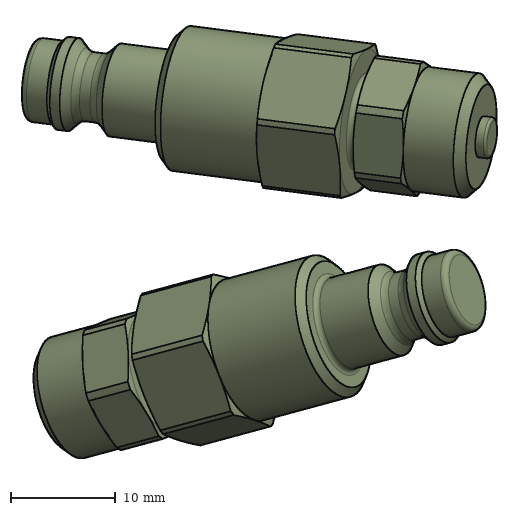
import cadquery as cq
import math

RIB_START = 2.65
RIB_END = 4.1
SHANK_START = 8.3
BODY_START = 14.1
NUT_START = 24.5
NECK_START = 32.75
COLLAR_START = 33.85
SLEEVE_START = 38.85
PIN_START = 44.8
LENGTH = 45.85

TIP_RADIUS = 8.1 / 2
SHANK_RADIUS = 9.0 / 2
GROOVE_RADIUS = 6.7 / 2
BODY_RADIUS = 14.0 / 2
NECK_RADIUS = 8.4 / 2
SLEEVE_RADIUS = 12.0 / 2
PIN_RADIUS = 4.0 / 2

TIP_FILLET = 0.6
GROOVE_FRONT_FILLET = 1.1
GROOVE_REAR_FILLET = 1.0
ROOT_FILLET = 0.5
PIN_FILLET = 0.28
BODY_CHAMFER = 0.8
SLEEVE_CHAMFER = 0.95

NUT_FLATS = 2 * BODY_RADIUS
NUT_CORNER_DIAMETER = 15.8
NUT_TURN = 16.3
COLLAR_FLATS = 2 * SLEEVE_RADIUS
COLLAR_CORNER_DIAMETER = 13.45
COLLAR_TURN = 35.5
HEX_CHAMFER_ANGLE = 15.0
HALF_SIDE_ANGLE = 30.0


def revolve_about_x(outline):
    """Revolve (x, radius) points, closed along the X axis."""
    start = outline[0][0]
    end = outline[-1][0]
    points = [(start, 0), *outline, (end, 0)]
    return cq.Workplane("XY").polyline(points).close().revolve(360, (0, 0), (1, 0))


def fillet_ring(solid, station, ring_radius, fillet_radius):
    """Round the circular edge of the given radius at a station on the X axis."""
    def is_ring(edge):
        if edge.geomType() != "CIRCLE":
            return False
        at_station = math.isclose(edge.arcCenter().x, station, abs_tol=0.0005)
        return at_station and math.isclose(edge.radius(), ring_radius, abs_tol=0.0005)

    ring = solid.edges().filter(is_ring)
    return ring.fillet(fillet_radius)


def turned_core():
    """All round sections, running on solid through the middle of both hexagons."""
    rib_rise = SHANK_RADIUS - TIP_RADIUS
    groove_depth = SHANK_RADIUS - GROOVE_RADIUS
    groove_start = RIB_END + groove_depth
    groove_end = SHANK_START - groove_depth
    core = revolve_about_x([
        (0, TIP_RADIUS),
        (RIB_START, TIP_RADIUS),
        (RIB_START + rib_rise, SHANK_RADIUS),
        (RIB_END, SHANK_RADIUS),
        (groove_start, GROOVE_RADIUS),
        (groove_end, GROOVE_RADIUS),
        (SHANK_START, SHANK_RADIUS),
        (BODY_START, SHANK_RADIUS),
        (BODY_START, BODY_RADIUS - BODY_CHAMFER),
        (BODY_START + BODY_CHAMFER, BODY_RADIUS),
        (NECK_START, BODY_RADIUS),
        (NECK_START, NECK_RADIUS),
        (SLEEVE_START, NECK_RADIUS),
        (SLEEVE_START, SLEEVE_RADIUS),
        (PIN_START - SLEEVE_CHAMFER, SLEEVE_RADIUS),
        (PIN_START, SLEEVE_RADIUS - SLEEVE_CHAMFER),
        (PIN_START, PIN_RADIUS),
        (LENGTH, PIN_RADIUS),
    ])
    core = fillet_ring(core, 0, TIP_RADIUS, TIP_FILLET)
    core = fillet_ring(core, groove_start, GROOVE_RADIUS, GROOVE_FRONT_FILLET)
    core = fillet_ring(core, groove_end, GROOVE_RADIUS, GROOVE_REAR_FILLET)
    core = fillet_ring(core, BODY_START, SHANK_RADIUS, ROOT_FILLET)
    core = fillet_ring(core, NECK_START, NECK_RADIUS, ROOT_FILLET)
    return fillet_ring(core, LENGTH, PIN_RADIUS, PIN_FILLET)


def hexagon(start, end, flats, corner_diameter, turn):
    """Hexagon on X with turned corners and conical chamfers at both ends.

    One corner lies at the turn angle, measured from -Y towards +Z.
    """
    slope = math.tan(math.radians(HEX_CHAMFER_ANGLE))
    chamfer_depth = (corner_diameter - flats) / 2 * slope
    envelope = revolve_about_x([
        (start, flats / 2),
        (start + chamfer_depth, corner_diameter / 2),
        (end - chamfer_depth, corner_diameter / 2),
        (end, flats / 2),
    ])
    first_flat_angle = 180 - turn - HALF_SIDE_ANGLE
    prism = (
        cq.Workplane("YZ", origin=(start, 0, 0))
        .transformed(rotate=(0, 0, first_flat_angle))
        .polygon(6, flats, circumscribed=True)
        .extrude(end - start)
    )
    return prism.intersect(envelope)


nut = hexagon(NUT_START, NECK_START, NUT_FLATS, NUT_CORNER_DIAMETER, NUT_TURN)
collar = hexagon(COLLAR_START, SLEEVE_START, COLLAR_FLATS, COLLAR_CORNER_DIAMETER, COLLAR_TURN)
result = turned_core().union(nut).union(collar)